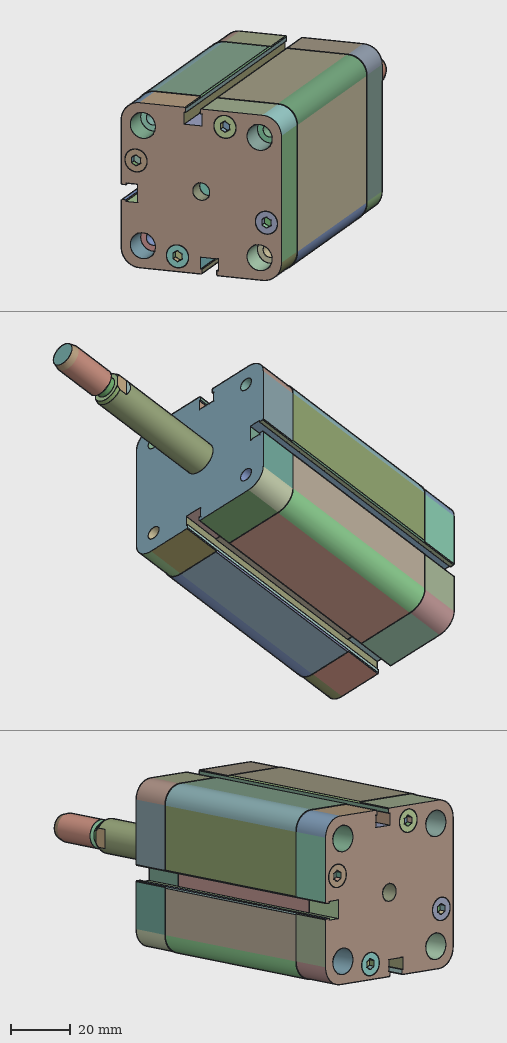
import cadquery as cq
import math

total_length = 164.0
body_width = 58.0
body_length = 95.5
cap_length = 14.8
corner_radius = 6.9
cap_inset = 0.2

front_y = -total_length / 2
rear_y = front_y + body_length
rod_tip_y = total_length / 2
half_width = body_width / 2

slot_angles = (0, -90, 180)
slot_offset = 3.0
slot_mouth_chamfer = 0.5
slot_throat_width = 5.2
slot_inner_width = 6.4
slot_lip = 2.0
slot_depth = 5.9

mount_offset = 21.0
mount_hole_diameter = 5.0
mount_bore_diameter = 9.0
mount_bore_depth = 9.8

screw_side_offset = 8.5
screw_edge_offset = 23.5
screw_hole_diameter = 8.0
screw_head_diameter = 7.9
screw_head_height = 5.0
socket_across_flats = 3.3
socket_depth = 2.5

center_hole_diameter = 6.0
center_hole_depth = 6.5

rod_diameter = 12.0
rod_shoulder_diameter = 10.8
rod_chamfer_length = 1.3
thread_diameter = 10.0
thread_tip_diameter = 8.5
thread_tip_length = 2.6
thread_end = 18.9
thread_end_chamfer = 0.5
neck_diameter = 7.5
shoulder_start = 21.8
flats_width = 10.0
flats_length = 4.6


def front_points(points):
    """Workplane on the front face with the given (x, z) points; extrude(-d) goes into the body."""
    return cq.Workplane("XZ", origin=(0, front_y, 0)).pushPoints(points)


def slot_cutter(floor_inset, start_y, length):
    """T-slot in the top side, with its floor set back by the inset."""
    chamfer_z = half_width - slot_mouth_chamfer
    lip_z = half_width - slot_lip
    floor_z = half_width - slot_depth - floor_inset
    throat_x = slot_throat_width / 2
    mouth_x = throat_x + slot_mouth_chamfer
    inner_x = slot_inner_width / 2
    right_half = [
        (inner_x, floor_z),
        (inner_x, lip_z),
        (throat_x, lip_z),
        (throat_x, chamfer_z),
        (mouth_x, half_width),
    ]
    left_half = [(-x, z) for x, z in reversed(right_half)]
    return (
        cq.Workplane("XZ", origin=(0, start_y, 0))
        .polyline(right_half + left_half)
        .close()
        .extrude(-length)
        .translate((-slot_offset, 0, 0))
    )


def slotted_block(inset, start_y, length):
    """Square block with rounded long edges and three T-slots, from start_y toward +Y."""
    width = body_width - 2 * inset
    block = (
        cq.Workplane("XZ", origin=(0, start_y, 0))
        .rect(width, width)
        .extrude(-length)
        .edges("|Y")
        .fillet(corner_radius - inset)
    )
    slot = slot_cutter(inset, start_y, length)
    for angle in slot_angles:
        block = block.cut(slot.rotate((0, 0, 0), (0, 1, 0), angle))
    return block


def make_body():
    """Profile tube between two end caps that are set back slightly from its outline."""
    tube = slotted_block(0, front_y + cap_length, body_length - 2 * cap_length)
    front_cap = slotted_block(cap_inset, front_y, cap_length)
    rear_cap = slotted_block(cap_inset, rear_y - cap_length, cap_length)
    return tube.union(front_cap).union(rear_cap)


def cut_mount_holes(body):
    """Through holes in the four corners, counterbored from the front."""
    points = [(x, z) for x in (-mount_offset, mount_offset) for z in (-mount_offset, mount_offset)]
    holes = front_points(points).circle(mount_hole_diameter / 2).extrude(-body_length)
    bores = front_points(points).circle(mount_bore_diameter / 2).extrude(-mount_bore_depth)
    return body.cut(holes).cut(bores)


def cut_screws(body):
    """Flush socket-head screws: a thin gap around each head and a hexagon socket."""
    points = [
        (screw_side_offset, screw_edge_offset),
        (screw_edge_offset, -screw_side_offset),
        (-screw_side_offset, -screw_edge_offset),
        (-screw_edge_offset, screw_side_offset),
    ]
    gaps = (
        front_points(points)
        .circle(screw_hole_diameter / 2)
        .circle(screw_head_diameter / 2)
        .extrude(-screw_head_height)
    )
    across_corners = socket_across_flats / math.cos(math.radians(30))
    sockets = (
        cq.Workplane("XZ", origin=(0, front_y, 0))
        .transformed(rotate=(0, 0, 90))
        .pushPoints([(z, -x) for x, z in points])
        .polygon(6, across_corners)
        .extrude(-socket_depth)
    )
    return body.cut(gaps).cut(sockets)


def cut_center_hole(body):
    hole = front_points([(0, 0)]).circle(center_hole_diameter / 2).extrude(-center_hole_depth)
    return body.cut(hole)


def make_rod():
    """Turned rod with a threaded end and two wrench flats behind its shoulder."""
    shoulder_y = rod_tip_y - shoulder_start
    profile = [
        (0, rod_tip_y),
        (thread_tip_diameter / 2, rod_tip_y),
        (thread_diameter / 2, rod_tip_y - thread_tip_length),
        (thread_diameter / 2, rod_tip_y - thread_end),
        (neck_diameter / 2, rod_tip_y - thread_end - thread_end_chamfer),
        (neck_diameter / 2, shoulder_y),
        (rod_shoulder_diameter / 2, shoulder_y),
        (rod_diameter / 2, shoulder_y - rod_chamfer_length),
        (rod_diameter / 2, rear_y),
        (0, rear_y),
    ]
    rod = cq.Workplane("XY").polyline(profile).close().revolve(360, (0, 0, 0), (0, 1, 0))

    flat_x = flats_width / 2
    rod_x = rod_diameter / 2
    flat_end_y = shoulder_y - flats_length
    flat_outline = [
        (flat_x, shoulder_y),
        (flat_x, flat_end_y),
        (rod_x, flat_end_y - (rod_x - flat_x)),
        (rod_x, shoulder_y),
    ]
    flat = cq.Workplane("XY").polyline(flat_outline).close().extrude(rod_x, both=True)
    return rod.cut(flat).cut(flat.mirror("YZ"))


body = make_body()
body = cut_mount_holes(body)
body = cut_screws(body)
body = cut_center_hole(body)
result = body.union(make_rod())